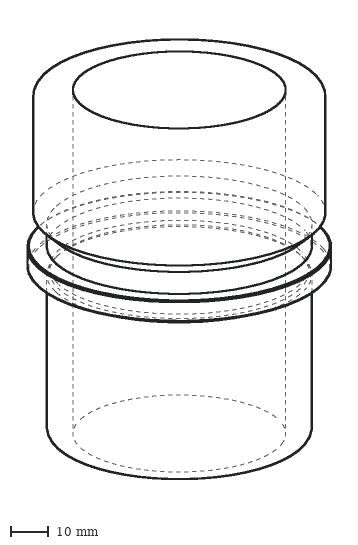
import cadquery as cq

total_height = 97.0
bore_radius = 28.0
body_radius = 34.9
end_fillet = 2.0

head_radius = 38.5
head_bottom = 62.4
taper_bottom = 59.2

flange_radius = 40.01
flange_top = 53.0
flange_thickness = 6.0
flange_chamfer = 0.4
flange_bottom = flange_top - flange_thickness

groove_depth = 0.8
groove_width = 1.3
groove_radius = body_radius - groove_depth
groove_bottom = flange_bottom - groove_width


def make_body():
    """Lower cylinder with a rounded foot and a chamfer up to the groove."""
    body = cq.Workplane("XY").circle(body_radius).extrude(groove_bottom)
    return body.faces("<Z").edges().fillet(end_fillet).faces(">Z").edges().chamfer(groove_depth)


def make_groove_core():
    """Reduced cylinder that forms the floor of the relief groove."""
    core_bottom = groove_bottom - groove_depth
    core = cq.Workplane("XY").workplane(offset=core_bottom).circle(groove_radius)
    return core.extrude(flange_bottom - core_bottom)


def make_flange():
    """Locating flange with both rims chamfered."""
    flange = cq.Workplane("XY").workplane(offset=flange_bottom).circle(flange_radius)
    return flange.extrude(flange_thickness).edges().chamfer(flange_chamfer)


def make_head():
    """Neck, conical taper and head, with a rounded top rim."""
    profile = (
        cq.Workplane("XZ")
        .moveTo(0, flange_bottom)
        .lineTo(body_radius, flange_bottom)
        .lineTo(body_radius, taper_bottom)
        .lineTo(head_radius, head_bottom)
        .lineTo(head_radius, total_height)
        .lineTo(0, total_height)
        .close()
    )
    head = profile.revolve(360, (0, 0, 0), (0, 1, 0))
    return head.faces(">Z").edges().fillet(end_fillet)


bore = cq.Workplane("XY").circle(bore_radius).extrude(total_height)

result = make_body().union(make_groove_core()).union(make_flange()).union(make_head()).cut(bore)